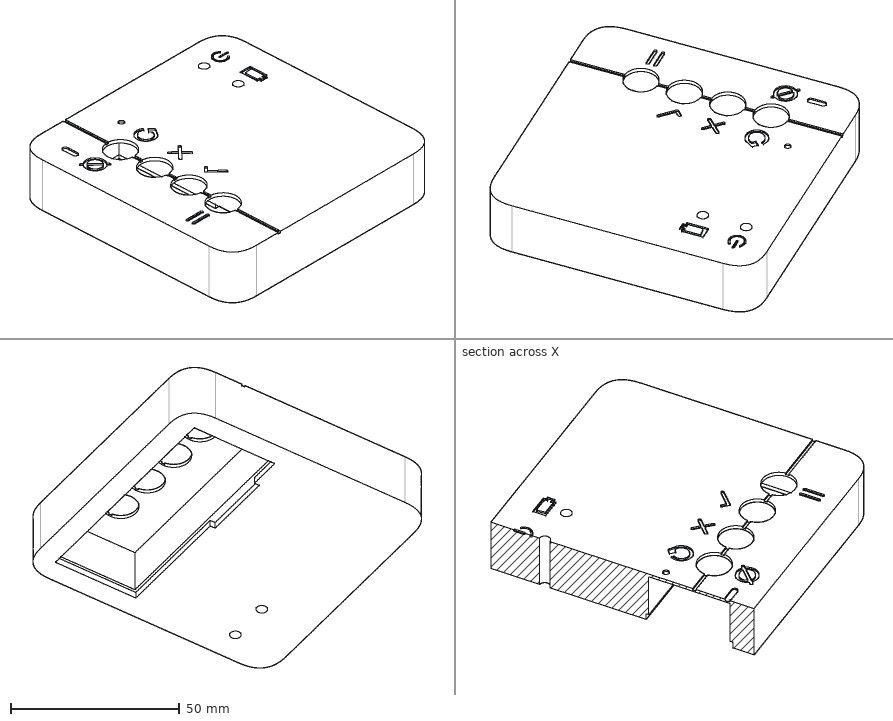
import cadquery as cq
import math

side = 88.0
height = 18.0
corner_reach = 9.9

top_thickness = 1.2
pocket_half_width = 35.9
pocket_back = -8.8
seat_step = 0.9
seat_depth = 2.2
notch_start = 2.6
notch_end = 26.05
notch_step = 2.6

pitch = 14.0
button_count = 4
button_diameter = 10.8
button_y = -24.0
light_diameter = 3.4
light_y = 26.0
light_x = -34.0
light_count = 2
groove_width = 1.1

engraving_depth = 0.5
stroke = 1.0
upper_symbol_y = -13.0
lower_symbol_y = -35.0
ring_outer_diameter = 7.1
ring_inner_diameter = 5.0

button_xs = [(i - (button_count - 1) / 2) * pitch for i in range(button_count)]
light_xs = [light_x + i * pitch for i in range(light_count)]
floor_z = height - engraving_depth


def engraving_plane(x, y):
    """Work plane at the floor of the engravings, with its origin at (x, y)."""
    return cq.Workplane("XY", origin=(x, y, floor_z))


def slot(x, y, length, width, angle=0.0):
    """Round-ended bar centred at (x, y)."""
    return engraving_plane(x, y).slot2D(length, width, angle).extrude(engraving_depth)


def stroke_between(start, end):
    """Round-ended stroke whose end arcs are centred on two points."""
    dx = end[0] - start[0]
    dy = end[1] - start[1]
    return slot(
        (start[0] + end[0]) / 2,
        (start[1] + end[1]) / 2,
        math.hypot(dx, dy) + stroke,
        stroke,
        math.degrees(math.atan2(dy, dx)),
    )


def ring(x, y, outer_diameter, inner_diameter):
    return (
        engraving_plane(x, y)
        .circle(outer_diameter / 2)
        .circle(inner_diameter / 2)
        .extrude(engraving_depth)
    )


def rectangle(x, y, length, width):
    return engraving_plane(x, y).rect(length, width).extrude(engraving_depth)


def polygon(x, y, points):
    """Straight-sided engraving with its points measured from (x, y)."""
    return engraving_plane(x, y).polyline(points).close().extrude(engraving_depth)


def power_symbol():
    outer_diameter = 5.4
    inner_diameter = 4.3
    ring_y = 33.0
    bar_width = 0.5
    bar_bottom = -0.35
    bar_top = 3.3
    gap_half_width = 2.6
    gap_height = 3.0
    gap = polygon(
        light_x, ring_y,
        [(0, 0), (gap_half_width, gap_height), (-gap_half_width, gap_height)],
    )
    bar = slot(light_x, ring_y + (bar_bottom + bar_top) / 2, bar_top - bar_bottom, bar_width, 90)
    return ring(light_x, ring_y, outer_diameter, inner_diameter).cut(gap).union(bar)


def battery_symbol():
    """Frame with a slanted inner end and a broken terminal wall, then a separate terminal bar."""
    length = 6.95
    width = 4.3
    center_x = -20.4
    center_y = 33.1
    long_wall = 0.7
    left_wall = 1.1
    terminal_wall = 0.5
    slant = 0.35
    break_width = 1.1
    terminal_gap = 0.35
    terminal_thickness = 0.6
    terminal_width = 2.55
    half_length = length / 2
    left = left_wall - half_length
    right = half_length - terminal_wall
    inner_y = width / 2 - long_wall
    terminal_x = half_length + terminal_gap + terminal_thickness / 2
    frame = rectangle(center_x, center_y, length, width)
    window = polygon(
        center_x, center_y,
        [(left, inner_y), (right, inner_y), (right, -inner_y), (left + slant, -inner_y)],
    )
    wall_break = rectangle(
        center_x + half_length - terminal_wall / 2, center_y, terminal_wall, break_width
    )
    terminal = rectangle(center_x + terminal_x, center_y, terminal_thickness, terminal_width)
    return frame.cut(window).cut(wall_break).union(terminal)


def repeat_symbol():
    x = button_xs[0]
    gap = polygon(x, upper_symbol_y, [(0, 0), (-4.4, 2.9), (-2.6, 4.8), (0, 4.4)])
    arrow_head = polygon(
        x, upper_symbol_y,
        [(-1.85, 3.0), (-0.35, 4.3), (0.2, 4.1), (1.9, 2.9), (0.35, 2.3), (-0.35, 1.6)],
    )
    return ring(x, upper_symbol_y, ring_outer_diameter, ring_inner_diameter).cut(gap).union(arrow_head)


def cross_symbol():
    length = 7.5
    arms = [slot(button_xs[1], upper_symbol_y, length, stroke, angle) for angle in (45, -45)]
    return arms[0].union(arms[1])


def check_symbol():
    elbow = (5.6, -15.1)
    short_reach = 1.5
    long_reach = 4.2
    short_end = (elbow[0] - short_reach, elbow[1] + short_reach)
    long_end = (elbow[0] + long_reach, elbow[1] + long_reach)
    return stroke_between(elbow, short_end).union(stroke_between(elbow, long_end))


def empty_symbol():
    slash_length = 9.3
    x = button_xs[0]
    slash = slot(x, lower_symbol_y, slash_length, stroke, 45)
    return ring(x, lower_symbol_y, ring_outer_diameter, ring_inner_diameter).union(slash)


def pause_symbol():
    length = 6.95
    spacing = 2.5
    x = button_xs[-1]
    bars = [slot(x + offset, lower_symbol_y, length, stroke, 90) for offset in (-spacing / 2, spacing / 2)]
    return bars[0].union(bars[1])


def side_marks():
    """Dot and dash to the left of the first button's symbols."""
    dot_x = -31.0
    dash_x = -31.15
    dot_diameter = 2.0
    dash_width = 2.0
    dash_length = 6.1
    dot = engraving_plane(dot_x, upper_symbol_y).circle(dot_diameter / 2).extrude(engraving_depth)
    return dot.union(slot(dash_x, lower_symbol_y, dash_length, dash_width))


def body():
    """Square box with each corner rounded by a parabola tangent to both sides."""
    half = side / 2
    flat = half - corner_reach
    return (
        cq.Workplane("XY")
        .moveTo(-flat, -half)
        .lineTo(flat, -half)
        .bezier([(flat, -half), (half, -half), (half, -flat)])
        .lineTo(half, flat)
        .bezier([(half, flat), (half, half), (flat, half)])
        .lineTo(-flat, half)
        .bezier([(-flat, half), (-half, half), (-half, flat)])
        .lineTo(-half, -flat)
        .bezier([(-half, -flat), (-half, -half), (-flat, -half)])
        .close()
        .extrude(height)
    )


def underside_recess(x_min, x_max, y_min, y_max, depth):
    """Rectangular recess cut upwards from the bottom face."""
    return (
        cq.Workplane("XY", origin=((x_min + x_max) / 2, (y_min + y_max) / 2, 0))
        .rect(x_max - x_min, y_max - y_min)
        .extrude(depth)
    )


def pocket():
    """Pocket, the wider seat at its mouth, and a notch in the seat's back edge."""
    seat_half_width = pocket_half_width + seat_step
    pocket_front = -pocket_half_width
    main = underside_recess(
        -pocket_half_width, pocket_half_width, pocket_front, pocket_back, height - top_thickness
    )
    seat = underside_recess(
        -seat_half_width, seat_half_width, -seat_half_width, pocket_back + seat_step, seat_depth
    )
    notch = underside_recess(
        notch_start, notch_end, pocket_back, pocket_back + notch_step, seat_depth
    )
    return main.union(seat).union(notch)


def through_holes():
    buttons = cq.Workplane("XY").pushPoints([(x, button_y) for x in button_xs])
    lights = cq.Workplane("XY").pushPoints([(x, light_y) for x in light_xs])
    return (
        buttons.circle(button_diameter / 2).extrude(height)
        .union(lights.circle(light_diameter / 2).extrude(height))
    )


def groove():
    return engraving_plane(0, button_y).rect(side, groove_width).extrude(engraving_depth)


cutters = [
    pocket(),
    through_holes(),
    groove(),
    side_marks(),
    power_symbol(),
    battery_symbol(),
    repeat_symbol(),
    cross_symbol(),
    check_symbol(),
    empty_symbol(),
    pause_symbol(),
]

result = body()
for cutter in cutters:
    result = result.cut(cutter)